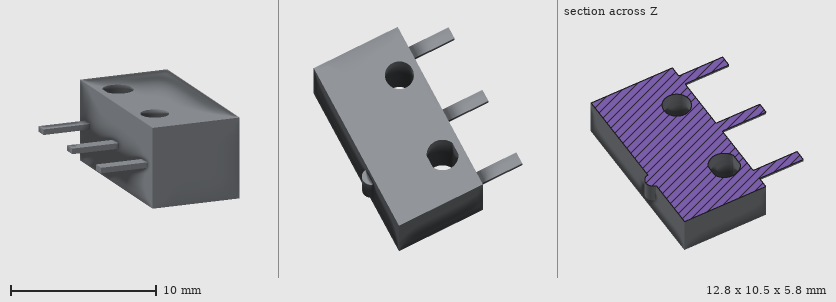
import cadquery as cq

body_length = 12.8
body_depth = 6.5
body_height = 5.8

pin_length = 3.5
pin_width = 0.9
pin_thickness = 0.4
pin_pitch = 5.08

hole_offset = 3.24
hole_edge_distance = 1.5
hole_diameter = 2.0
flatted_hole_diameter = 2.2

button_x = -1.95
button_radius = 0.6
button_travel = 0.5
button_height = 2.92

front_y = -body_depth / 2
back_y = body_depth / 2
hole_y = front_y + hole_edge_distance


def make_pin(x):
    """Flat terminal projecting from the -Y face."""
    return cq.Workplane("XY").box(pin_width, pin_length, pin_thickness).translate(
        (x, front_y - pin_length / 2, 0)
    )


def make_button():
    """Cylinder along Z, partly sunk in the +Y face."""
    center_y = back_y + button_travel - button_radius
    return (
        cq.Workplane("XY")
        .center(button_x, center_y)
        .circle(button_radius)
        .extrude(button_height / 2, both=True)
    )


def make_round_cutter(x, diameter):
    """Cylinder along Z through the full body height."""
    return (
        cq.Workplane("XY")
        .center(x, hole_y)
        .circle(diameter / 2)
        .extrude(body_height / 2, both=True)
    )


def make_flatted_cutter(x):
    """Larger cylinder with flats that narrow it along Y to the round hole's size."""
    flats = cq.Workplane("XY").box(flatted_hole_diameter, hole_diameter, body_height)
    return make_round_cutter(x, flatted_hole_diameter).intersect(flats.translate((x, hole_y, 0)))


result = cq.Workplane("XY").box(body_length, body_depth, body_height)
result = result.cut(make_round_cutter(hole_offset, hole_diameter))
result = result.cut(make_flatted_cutter(-hole_offset))
result = result.union(make_button())
for position in (-1, 0, 1):
    result = result.union(make_pin(position * pin_pitch))